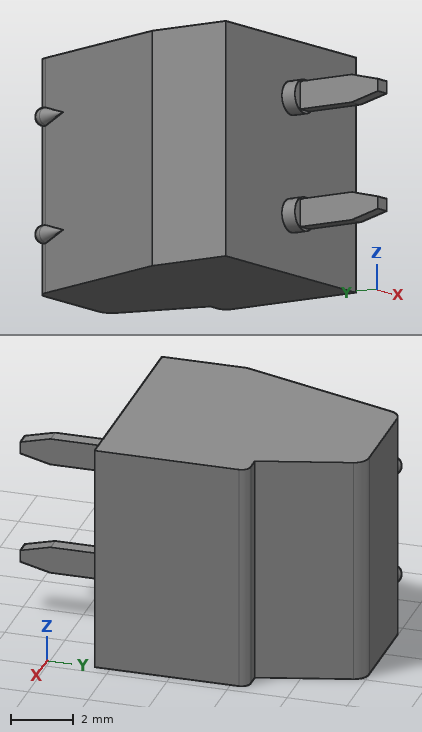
import cadquery as cq
import math

width = 7.3
depth = 8.5
height = 7.62
left_x = -3.7
right_x = left_x + width
slope_start_y = 2.83
slope_top_x = left_x + 1.85
step_y = 5.1
step_width = 0.75
back_wall_angle = 15.0
top_radius = 0.5
step_radius = 0.3

pin_pitch = height / 2
pin_length = 3.5
collar_diameter = 1.1
collar_length = 0.5
pin_thickness = 0.5
pin_width = 0.9
tip_width = 0.4
tip_length = 1.0

mark_radius = 0.3

levels = (-pin_pitch / 2, pin_pitch / 2)


def make_housing():
    step_x = right_x - step_width
    back_wall_top_x = step_x - (depth - step_y) * math.tan(math.radians(back_wall_angle))
    body = (
        cq.Workplane("XY")
        .workplane(offset=-height / 2)
        .moveTo(left_x, 0)
        .lineTo(right_x, 0)
        .lineTo(right_x, step_y)
        .lineTo(step_x, step_y)
        .lineTo(back_wall_top_x, depth)
        .lineTo(slope_top_x, depth)
        .lineTo(left_x, slope_start_y)
        .close()
        .extrude(height)
    )
    body = body.edges("|Z and >Y").fillet(top_radius)
    step_corner = cq.selectors.NearestToPointSelector((right_x, step_y, 0))
    return body.edges("|Z").edges(step_corner).fillet(step_radius)


def make_pin(level):
    collar = (
        cq.Workplane("XZ")
        .center(0, level)
        .circle(collar_diameter / 2)
        .extrude(collar_length)
    )
    shoulder_y = tip_length - pin_length
    blade = (
        cq.Workplane("YZ")
        .workplane(offset=-pin_thickness / 2)
        .center(0, level)
        .moveTo(0, -pin_width / 2)
        .lineTo(shoulder_y, -pin_width / 2)
        .lineTo(-pin_length, -tip_width / 2)
        .lineTo(-pin_length, tip_width / 2)
        .lineTo(shoulder_y, pin_width / 2)
        .lineTo(0, pin_width / 2)
        .close()
        .extrude(pin_thickness)
    )
    return collar.union(blade)


def make_mark(level):
    """Ball with a tangent cone; both are centred on the sloping wall.

    The ball touches the plane of the top face. The cone's half angle equals the
    lean of the wall, so its outermost line runs parallel to Y.
    """
    lean = math.atan2(slope_top_x - left_x, depth - slope_start_y)
    ball_y = depth - mark_radius
    ball_x = left_x + (ball_y - slope_start_y) * math.tan(lean)
    apex_distance = mark_radius / math.sin(lean)
    tangent_y = -mark_radius * math.sin(lean)
    tangent_x = mark_radius * math.cos(lean)
    teardrop = (
        cq.Workplane("XY")
        .moveTo(0, -apex_distance)
        .lineTo(tangent_x, tangent_y)
        .threePointArc((tangent_x, -tangent_y), (0, mark_radius))
        .close()
        .revolve(360, (0, 0, 0), (0, 1, 0))
    )
    return teardrop.rotate((0, 0, 0), (0, 0, 1), -math.degrees(lean)).translate((ball_x, ball_y, level))


result = make_housing()
for level in levels:
    result = result.union(make_pin(level)).union(make_mark(level))